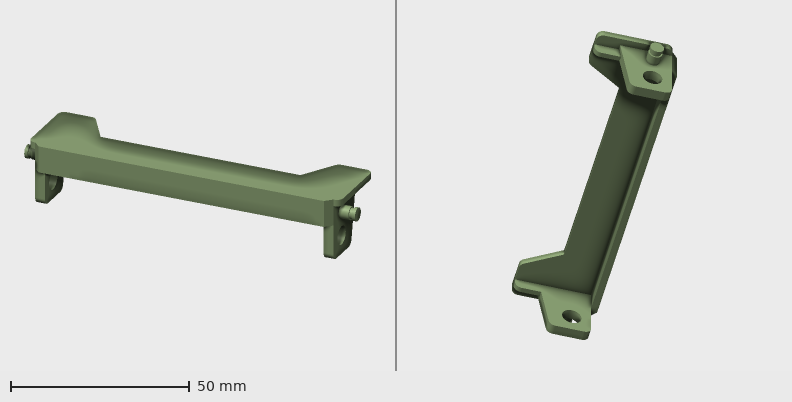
import cadquery as cq

SPAN = 101.6
DEPTH = 24.0
CORNER_RADIUS = 2.0

TOP_THICKNESS = 2.0
TOP_HALF_WIDTH = 48.0
BAR_DEPTH = 13.0
EAR_WIDTH = 10.7
EAR_FOOT = 17.3

WALL_THICKNESS = 2.0
WALL_HEIGHT = 8.0

SIDE_OUTER_X = 45.8
SIDE_THICKNESS = 3.0
SIDE_INNER_X = SIDE_OUTER_X - SIDE_THICKNESS
SIDE_HEIGHT = 19.0
SIDE_TOP_BACK = 17.0
SIDE_BOTTOM_BACK = 14.0

RIB_THICKNESS = 1.5
RIB_HEIGHT = 5.2

AXIS_Y = 7.6
PIN_Z = -6.0
PIN_DIAMETER = 4.0
PIN_HEAD_LENGTH = 1.0
GROOVE_WIDTH = 1.0
GROOVE_DIAMETER = 3.2
HOLE_Z = -13.4
HOLE_DIAMETER = 5.6


def make_top_plate():
    """Plate with two ears at the back; its front edge lies on the back of the front wall."""
    ear_tip_x = TOP_HALF_WIDTH - EAR_WIDTH
    ear_foot_x = TOP_HALF_WIDTH - EAR_FOOT
    right_side = [
        (TOP_HALF_WIDTH, WALL_THICKNESS),
        (TOP_HALF_WIDTH, DEPTH),
        (ear_tip_x, DEPTH),
        (ear_foot_x, BAR_DEPTH),
    ]
    left_side = [(-x, y) for x, y in reversed(right_side)]
    plate = cq.Workplane("XY").polyline(right_side + left_side).close().extrude(-TOP_THICKNESS)
    return plate.edges("|Z and (<X or >X or >Y)").fillet(CORNER_RADIUS)


def make_front_wall():
    """Wall across the front whose ends taper at 45 degrees to the side plates."""
    front_x = SIDE_OUTER_X - WALL_THICKNESS
    outline = [
        (-front_x, 0),
        (front_x, 0),
        (SIDE_OUTER_X, WALL_THICKNESS),
        (-SIDE_OUTER_X, WALL_THICKNESS),
    ]
    return cq.Workplane("XY").polyline(outline).close().extrude(-WALL_HEIGHT)


def make_side_plate():
    """Right-hand hanging plate with a sloping back edge and rounded lower corners."""
    outline = [
        (WALL_THICKNESS, 0),
        (SIDE_TOP_BACK, 0),
        (SIDE_TOP_BACK, -TOP_THICKNESS),
        (SIDE_BOTTOM_BACK, -SIDE_HEIGHT),
        (WALL_THICKNESS, -SIDE_HEIGHT),
    ]
    plate = cq.Workplane("YZ", origin=(SIDE_INNER_X, 0, 0)).polyline(outline).close().extrude(SIDE_THICKNESS)
    return plate.faces("<Z").edges("|X").fillet(CORNER_RADIUS)


def make_rib():
    """Right-hand rib under the ear, flush with the inner face of the side plate."""
    rib = cq.Workplane("XY").box(RIB_THICKNESS, DEPTH - WALL_THICKNESS, RIB_HEIGHT, centered=False)
    rib = rib.edges("|X and >Y and <Z").fillet(CORNER_RADIUS)
    return rib.translate((SIDE_INNER_X, WALL_THICKNESS, -RIB_HEIGHT))


def cylinder_along_x(z, diameter, start_x, end_x):
    base = cq.Workplane("YZ", origin=(start_x, AXIS_Y, z))
    return base.circle(diameter / 2).extrude(end_x - start_x)


def make_pin():
    """Right-hand pin with a retaining groove behind its head."""
    tip_x = SPAN / 2
    head_x = tip_x - PIN_HEAD_LENGTH
    groove_x = head_x - GROOVE_WIDTH
    shank = cylinder_along_x(PIN_Z, PIN_DIAMETER, SIDE_INNER_X, groove_x)
    neck = cylinder_along_x(PIN_Z, GROOVE_DIAMETER, groove_x, head_x)
    head = cylinder_along_x(PIN_Z, PIN_DIAMETER, head_x, tip_x)
    return shank.union(neck).union(head)


def make_right_end():
    hole = cylinder_along_x(HOLE_Z, HOLE_DIAMETER, SIDE_INNER_X, SIDE_OUTER_X)
    return make_side_plate().cut(hole).union(make_rib()).union(make_pin())


right_end = make_right_end()
left_end = right_end.mirror("YZ")
result = make_top_plate().union(make_front_wall()).union(right_end).union(left_end)